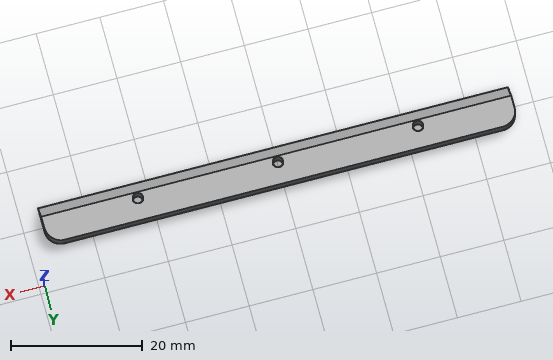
import cadquery as cq

length = 73.8
width = 6.4
thickness = 2.0

bevel = thickness
corner_radius = 2.5

hole_diameter = 1.6
hole_spacing = 22.0
hole_from_front = 2.95

front = -width / 2
back = width / 2


def beveled_strip():
    """Strip with a sloping front face, centred on X and Y, resting on Z = 0."""
    profile = [
        (front, 0),
        (back, 0),
        (back, thickness),
        (front + bevel, thickness),
    ]
    return (
        cq.Workplane("YZ")
        .polyline(profile)
        .close()
        .extrude(length / 2, both=True)
    )


def hole_cutters():
    """Row of three through holes behind the bevel."""
    hole_y = front + hole_from_front
    centers = [(step * hole_spacing, hole_y) for step in (-1, 0, 1)]
    return (
        cq.Workplane("XY")
        .pushPoints(centers)
        .circle(hole_diameter / 2)
        .extrude(thickness)
    )


strip = beveled_strip()
rounded_strip = strip.edges("|Z").edges(">Y").fillet(corner_radius)
result = rounded_strip.cut(hole_cutters())